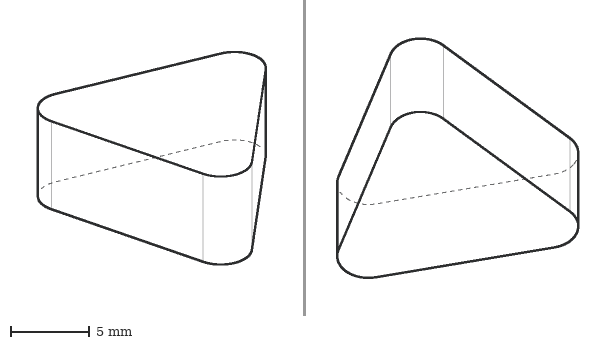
import cadquery as cq
import math

overall_width = 15.78
corner_radius = 2.0
thickness = 6.55

arc_center_spacing = overall_width - 2 * corner_radius
arc_center_circle_radius = arc_center_spacing / math.sqrt(3)
sharp_corner_circle_radius = arc_center_circle_radius + 2 * corner_radius

corner_angles = [math.radians(angle) for angle in (90, 210, 330)]
sharp_corners = [
    (
        sharp_corner_circle_radius * math.cos(angle),
        sharp_corner_circle_radius * math.sin(angle),
    )
    for angle in corner_angles
]

result = (
    cq.Workplane("XY")
    .polyline(sharp_corners)
    .close()
    .extrude(thickness)
    .edges("|Z")
    .fillet(corner_radius)
)